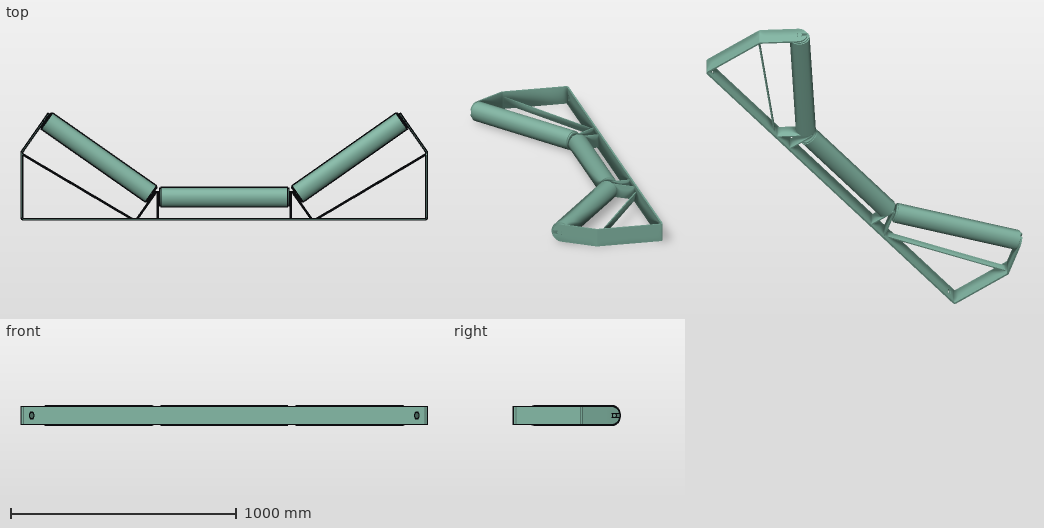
import cadquery as cq
import math

total_width = 1800.0
total_height = 475.33

strip_width = 80.0
strip_thickness = 8.0
bend_radius = 12.0
trough_angle = 35.0
arm_length = 210.0

bolt_spacing = 1705.0
bolt_slot_width = 18.0
bolt_slot_length = 28.0

tube_diameter = 89.0
tube_length = 562.0
cap_diameter = 80.0
cap_length = 6.0
shaft_diameter = 22.0
shaft_flat_width = 18.0
shaft_overhang = 16.43

middle_axis_height = 102.0
side_axis_drop = 33.0

bracket_width = 60.0
bracket_thickness = 6.0
bracket_height = 128.0

brace_width = 30.0
brace_thickness = 6.0
brace_wall_height = 291.0
brace_foot_x = 413.0

half_width = total_width / 2
sine = math.sin(math.radians(trough_angle))
cosine = math.cos(math.radians(trough_angle))
wall_height = total_height - arm_length * cosine
shaft_length = tube_length + 2 * shaft_overhang
shaft_slot_depth = side_axis_drop + shaft_diameter / 2
shaft_slot_length = shaft_length + 2 * bracket_thickness


def arm_point(along, inward):
    """Point on the right arm: distance along its outer face, then inward from that face."""
    return (
        half_width - along * sine - inward * cosine,
        wall_height + along * cosine - inward * sine,
    )


def strip(outline, width):
    """Extrude an XY outline into a strip of the given width, centred on Z = 0."""
    return cq.Workplane("XY", origin=(0, 0, -width / 2)).polyline(outline).close().extrude(width)


def bar(diameter, length):
    """Round bar along X, centred on the origin."""
    return cq.Workplane("YZ", origin=(-length / 2, 0, 0)).circle(diameter / 2).extrude(length)


def mirrored(solid):
    """Left-hand copy of a right-hand solid."""
    return solid.mirror("YZ")


def place_middle(solid):
    """Move a solid lying along X onto the axis of the middle roller."""
    return solid.translate((0, middle_axis_height, 0))


def place_side(solid):
    """Move a solid lying along X onto the axis of the right side roller."""
    center = arm_point(arm_length - side_axis_drop, shaft_length / 2)
    return solid.rotate((0, 0, 0), (0, 0, 1), trough_angle).translate((*center, 0))


def make_shaft_slot():
    """Cutter for the open slots that hold a shaft lying along X, as wide as its flats."""
    return (
        cq.Workplane("XY", origin=(0, -shaft_diameter / 2, 0))
        .box(shaft_slot_length, shaft_slot_depth, shaft_flat_width, centered=(True, False, True))
    )


def make_bent_strip():
    inner_x = half_width - strip_thickness
    inner_wall_height = wall_height - strip_thickness * math.tan(math.radians(trough_angle / 2))
    right_side = [
        (half_width, 0),
        (half_width, wall_height),
        arm_point(arm_length, 0),
        arm_point(arm_length, strip_thickness),
        (inner_x, inner_wall_height),
        (inner_x, strip_thickness),
    ]
    left_side = [(-x, y) for x, y in reversed(right_side)]
    bent_strip = strip(right_side + left_side, strip_width)

    inner_radius = bend_radius - strip_thickness
    bends = [
        (half_width, 0, bend_radius),
        (half_width, wall_height, bend_radius),
        (inner_x, strip_thickness, inner_radius),
        (inner_x, inner_wall_height, inner_radius),
    ]
    for side in (-1, 1):
        for x, y, radius in bends:
            corner = cq.selectors.NearestToPointSelector((side * x, y, 0))
            bent_strip = bent_strip.edges(corner).fillet(radius)
    return bent_strip


def make_tip_waste():
    """Material outside the half-round tip of the right arm."""
    tip_radius = strip_width / 2
    tip_plane = cq.Workplane(cq.Plane(
        origin=(*arm_point(arm_length - tip_radius, 0), 0),
        xDir=(-sine, cosine, 0),
        normal=(cosine, sine, 0),
    ))
    tip_round = tip_plane.circle(tip_radius).extrude(-strip_thickness)
    tip_block = (
        tip_plane.rect(tip_radius, strip_width, centered=(False, True))
        .extrude(-strip_thickness)
    )
    return tip_block.cut(tip_round)


def make_bolt_slots():
    return (
        cq.Workplane("XZ")
        .pushPoints([(-bolt_spacing / 2, 0), (bolt_spacing / 2, 0)])
        .slot2D(bolt_slot_length, bolt_slot_width, 90)
        .extrude(-strip_thickness)
    )


def make_frame():
    frame = make_bent_strip().cut(make_bolt_slots())
    for cutter in (make_tip_waste(), place_side(make_shaft_slot())):
        frame = frame.cut(cutter).cut(mirrored(cutter))
    return frame


def make_bracket():
    base_y = strip_thickness
    leg_run = bracket_thickness / cosine
    plate_underside = bracket_height - bracket_thickness
    upright_outer_x = shaft_length / 2
    upright_inner_x = upright_outer_x - bracket_thickness
    shaft_end_x, shaft_end_y = arm_point(arm_length - side_axis_drop, shaft_length)

    def leg_back_x(y):
        """Back of the leg, square to the side roller and flush with its shaft end."""
        return shaft_end_x - (y - shaft_end_y) * sine / cosine

    bracket = strip([
        (upright_inner_x, base_y),
        (upright_inner_x, bracket_height),
        (leg_back_x(bracket_height) + leg_run, bracket_height),
        (leg_back_x(base_y) + leg_run, base_y),
        (leg_back_x(base_y), base_y),
        (leg_back_x(plate_underside), plate_underside),
        (upright_outer_x, plate_underside),
        (upright_outer_x, base_y),
    ], bracket_width)
    return bracket.cut(place_middle(make_shaft_slot())).cut(place_side(make_shaft_slot()))


def make_brace():
    wall_x = half_width - strip_thickness
    run = wall_x - brace_foot_x
    rise = brace_wall_height - strip_thickness
    length = math.hypot(run, rise)
    half_wall_cut = brace_thickness / 2 * length / run
    half_foot_cut = brace_thickness / 2 * length / rise
    return strip([
        (brace_foot_x - half_foot_cut, strip_thickness),
        (brace_foot_x + half_foot_cut, strip_thickness),
        (wall_x, brace_wall_height - half_wall_cut),
        (wall_x, brace_wall_height + half_wall_cut),
    ], brace_width)


def make_roller():
    tube = bar(tube_diameter, tube_length)
    caps = bar(cap_diameter, tube_length + 2 * cap_length)
    flats = cq.Workplane("XY").box(shaft_length, shaft_diameter, shaft_flat_width)
    shaft = bar(shaft_diameter, shaft_length).intersect(flats)
    return tube.union(caps).union(shaft)


frame = make_frame()
bracket = make_bracket()
brace = make_brace()
middle_roller = place_middle(make_roller())
side_roller = place_side(make_roller())

bodies = [frame.val(), middle_roller.val()]
for right_body in (bracket, brace, side_roller):
    bodies.append(right_body.val())
    bodies.append(mirrored(right_body).val())

result = cq.Compound.makeCompound(bodies)